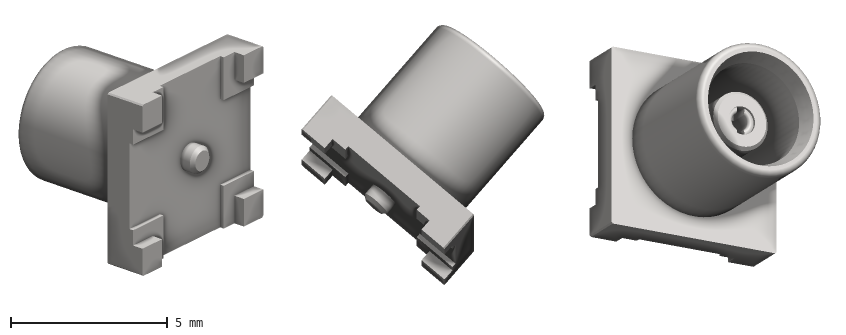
import cadquery as cq

total_length = 5.9
flange_side = 6.0
flange_thickness = 1.46
flange_edge_chamfer = 0.05
flange_front = total_length - flange_thickness

wide_relief_width = 4.07
wide_relief_depth = 0.39
narrow_relief_width = 3.0
narrow_relief_depth = 0.54

barrel_radius = 2.25
barrel_lip_fillet = 0.2
mouth_radius = 1.92
bore_radius = 1.705
mouth_taper_length = 0.565
bore_depth = flange_front

insulator_radius = 0.99
insulator_chamfer = 0.11
insulator_front = 1.25

contact_radius = 0.475
contact_recess = 0.095
contact_front = insulator_front + contact_recess
contact_end = total_length - 0.025
contact_tail_chamfer = 0.125

socket_radius = 0.28
socket_lip_radius = 0.1
socket_depth = 0.96
socket_cone_length = 0.16
slot_width = 0.27
slot_depth = 0.72


def cylinder(start, end, radius):
    """Solid cylinder along X between two stations."""
    return cq.Workplane("YZ", origin=(start, 0, 0)).circle(radius).extrude(end - start)


def make_flange():
    flange = (
        cq.Workplane("YZ", origin=(flange_front, 0, 0))
        .rect(flange_side, flange_side)
        .extrude(flange_thickness)
        .edges("|X")
        .chamfer(flange_edge_chamfer)
    )
    reliefs = (
        (wide_relief_width, wide_relief_depth),
        (narrow_relief_width, narrow_relief_depth),
    )
    for width, depth in reliefs:
        back = cq.Workplane("YZ", origin=(total_length - depth, 0, 0))
        flange = flange.cut(back.rect(width, flange_side).extrude(depth))
        flange = flange.cut(back.rect(flange_side, width).extrude(depth))
    return flange


def make_barrel():
    barrel = cylinder(0, flange_front, barrel_radius).faces("<X").edges().fillet(barrel_lip_fillet)
    bore_profile = [
        (0, 0),
        (0, mouth_radius),
        (mouth_taper_length, bore_radius),
        (bore_depth, bore_radius),
        (bore_depth, 0),
    ]
    bore = cq.Workplane("XY").polyline(bore_profile).close().revolve(360, (0, 0, 0), (1, 0, 0))
    return barrel.cut(bore)


def make_insulator():
    post = cylinder(insulator_front, flange_front, insulator_radius)
    post = post.faces("<X").chamfer(insulator_chamfer)
    return post.cut(cylinder(insulator_front, contact_front, contact_radius))


def make_contact_tail():
    tail = cylinder(flange_front, contact_end, contact_radius)
    return tail.faces(">X").chamfer(contact_tail_chamfer)


def make_socket():
    """Blind socket with a rounded lip at its mouth and a conical bottom."""
    lip_end = contact_front + socket_lip_radius
    socket_end = contact_front + socket_depth
    profile = (
        cq.Workplane("XY")
        .moveTo(contact_front, 0)
        .lineTo(contact_front, socket_radius + socket_lip_radius)
        .radiusArc((lip_end, socket_radius), -socket_lip_radius)
        .lineTo(socket_end, socket_radius)
        .lineTo(socket_end + socket_cone_length, 0)
        .close()
    )
    return profile.revolve(360, (0, 0, 0), (1, 0, 0))


def make_slot():
    """Slot through both walls of the socket, along Z, ending at the contact's outer surface."""
    slot = (
        cq.Workplane("YZ", origin=(contact_front, 0, 0))
        .rect(slot_width, 2 * contact_radius)
        .extrude(slot_depth)
    )
    return slot.intersect(cylinder(contact_front, contact_front + slot_depth, contact_radius))


result = (
    make_flange()
    .union(make_barrel())
    .union(make_insulator())
    .union(make_contact_tail())
    .cut(make_socket())
    .cut(make_slot())
)